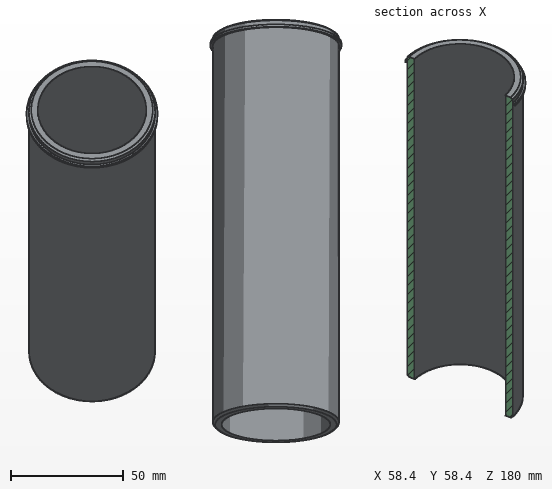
import cadquery as cq

tube_length = 180.0
tube_radius = 28.0
bore_radius = 24.1
edge_width = 1.0
top_edge_height = 0.7
bottom_edge_height = 1.0

ring_radius = 29.2
ring_thickness = 1.0
ring_top_depth = 2.9

tube_top = tube_length / 2
tube_bottom = -tube_length / 2
ring_bottom = tube_top - ring_top_depth - ring_thickness


def make_tube():
    """Straight tube with both outer end edges chamfered."""
    end_radius = tube_radius - edge_width
    return (
        cq.Workplane("XZ")
        .moveTo(bore_radius, tube_bottom)
        .lineTo(end_radius, tube_bottom)
        .lineTo(tube_radius, tube_bottom + bottom_edge_height)
        .lineTo(tube_radius, tube_top - top_edge_height)
        .lineTo(end_radius, tube_top)
        .lineTo(bore_radius, tube_top)
        .close()
        .revolve(360, (0, 0, 0), (0, 1, 0))
    )


def make_ring():
    """Flat ring that fits closely around the outside of the tube."""
    return (
        cq.Workplane("XY", origin=(0, 0, ring_bottom))
        .circle(ring_radius)
        .circle(tube_radius)
        .extrude(ring_thickness)
    )


tube = make_tube()
ring = make_ring()
result = cq.Compound.makeCompound([tube.val(), ring.val()])